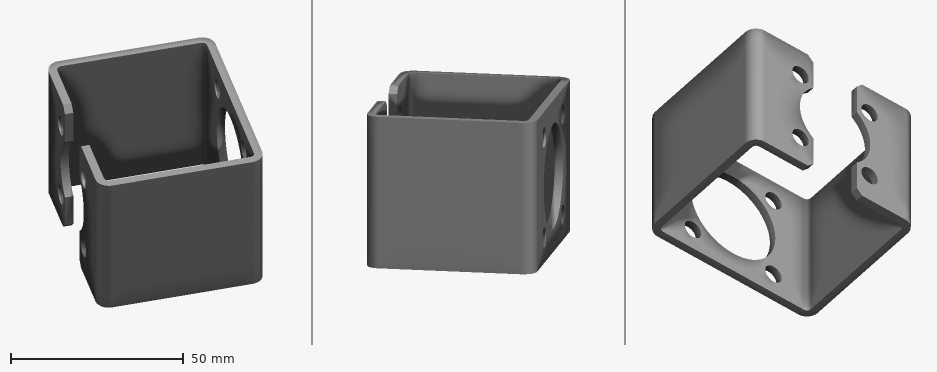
import cadquery as cq

width = 60.0
depth = 50.0
height = 45.0
thickness = 2.5
outer_bend_radius = 4.0
inner_bend_radius = outer_bend_radius - thickness

gap_width = 16.0
corner_chamfer = 2.0

front_opening_diameter = 26.0
rear_opening_diameter = 31.0
bolt_hole_diameter = 6.0
front_bolt_circle_diameter = 36.0
rear_bolt_circle_diameter = 42.0

front_y = -depth / 2
rear_y = depth / 2


def rounded_block(block_width, block_depth, corner_radius):
    """Full-height block with rounded vertical edges."""
    return cq.Workplane("XY").box(block_width, block_depth, height).edges("|Z").fillet(corner_radius)


def wall_cutter(outline, wall_start_y):
    """Extrude an XZ outline through one wall, toward +Y."""
    return outline.extrude(-thickness).translate((0, wall_start_y, 0))


def opening_cutter(opening_diameter, bolt_circle_diameter, wall_start_y):
    """Central opening with four bolt holes on its diagonals."""
    opening = cq.Workplane("XZ").circle(opening_diameter / 2)
    bolt_holes = (
        cq.Workplane("XZ")
        .polarArray(bolt_circle_diameter / 2, 45, 360, 4)
        .circle(bolt_hole_diameter / 2)
    )
    return wall_cutter(opening, wall_start_y).union(wall_cutter(bolt_holes, wall_start_y))


def gap_cutter():
    """Front gap, flared at both ends to chamfer the flange corners."""
    half_gap = gap_width / 2
    half_mouth = half_gap + corner_chamfer
    half_height = height / 2
    shoulder = half_height - corner_chamfer
    outline = (
        cq.Workplane("XZ")
        .moveTo(-half_mouth, half_height)
        .lineTo(half_mouth, half_height)
        .lineTo(half_gap, shoulder)
        .lineTo(half_gap, -shoulder)
        .lineTo(half_mouth, -half_height)
        .lineTo(-half_mouth, -half_height)
        .lineTo(-half_gap, -shoulder)
        .lineTo(-half_gap, shoulder)
        .close()
    )
    return wall_cutter(outline, front_y)


outer = rounded_block(width, depth, outer_bend_radius)
cavity = rounded_block(width - 2 * thickness, depth - 2 * thickness, inner_bend_radius)

result = (
    outer.cut(cavity)
    .cut(gap_cutter())
    .cut(opening_cutter(front_opening_diameter, front_bolt_circle_diameter, front_y))
    .cut(opening_cutter(rear_opening_diameter, rear_bolt_circle_diameter, rear_y - thickness))
)